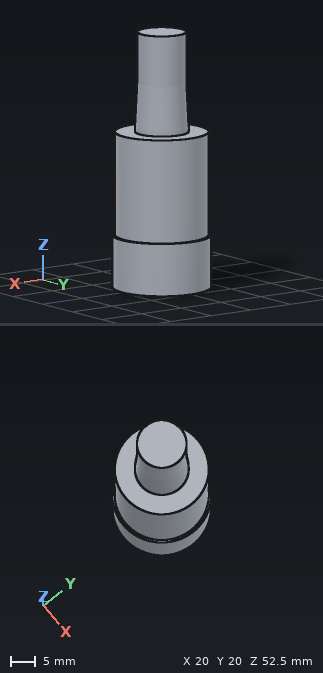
import cadquery as cq

collar_radius = 20.0 / 2
body_radius = 19.0 / 2
neck_radius = 10.9 / 2
tip_radius = 10.0 / 2

collar_top = 10.8
body_top = 32.0
neck_top = 33.0
taper_top = 42.0
overall_height = 52.5


def half_profile():
    """Closed outline of one half of the pin: radius across, height up."""
    return (
        cq.Workplane("YZ")
        .moveTo(0, 0)
        .lineTo(collar_radius, 0)
        .lineTo(collar_radius, collar_top)
        .lineTo(body_radius, collar_top)
        .lineTo(body_radius, body_top)
        .lineTo(neck_radius, body_top)
        .lineTo(neck_radius, neck_top)
        .lineTo(tip_radius, taper_top)
        .lineTo(tip_radius, overall_height)
        .lineTo(0, overall_height)
        .close()
    )


full_turn = 360
axis_start = (0, 0, 0)
axis_end = (0, 1, 0)
result = half_profile().revolve(full_turn, axis_start, axis_end)